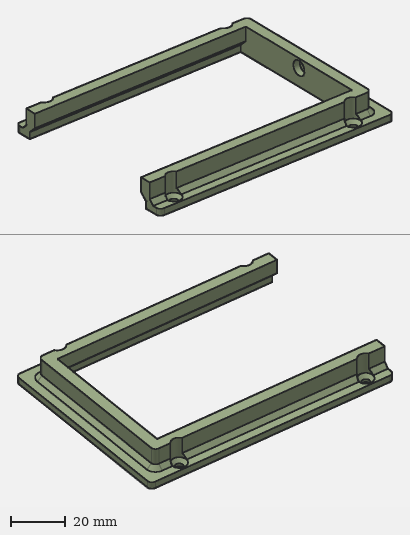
import cadquery as cq

width = 82.0
length = 111.0
height = 12.0

flange_height = 3.0
corner_radius = 2.0
side_ledge = 5.8
back_ledge = 6.0
wall_thickness = 5.0
foot_slope = 2.0

undercut_depth = 2.9
undercut_height = 3.0

screw_inset = 4.0
screw_front_inset = 10.0
screw_back_inset = 16.0
screw_diameter = 3.2
screw_head_diameter = 6.4

pocket_diameter = 6.3
pocket_depth = 3.0
pocket_height = 7.9

opening_width = width - 2 * (side_ledge + wall_thickness)
opening_length = length - back_ledge - wall_thickness
front_y = -length / 2
back_y = length / 2
inner_back_y = front_y + opening_length


def make_flange():
    plate = cq.Workplane("XY").box(width, length, flange_height, centered=(True, True, False))
    return plate.edges("|Z").fillet(corner_radius)


def make_block(ledge_reduction, block_height, radius):
    """Solid block flush with the open end and rounded at its two back corners."""
    block_width = width - 2 * (side_ledge - ledge_reduction)
    block_length = length - back_ledge + ledge_reduction
    return (
        cq.Workplane("XY")
        .center(0, front_y + block_length / 2)
        .box(block_width, block_length, block_height, centered=(True, True, False))
        .edges("|Z and >Y")
        .fillet(radius)
    )


def make_wall():
    """Upright wall with a sloped foot running around its outside."""
    wall = make_block(0, height, corner_radius)
    foot = make_block(foot_slope, flange_height + foot_slope, corner_radius + foot_slope)
    foot = foot.faces(">Z").edges("not(<Y)").chamfer(foot_slope)
    return wall.union(foot)


def make_opening():
    """Space between the legs, wider at the bottom where the legs are undercut."""
    upper_half = opening_width / 2
    lower_half = upper_half + undercut_depth
    slope_top = undercut_height + undercut_depth
    return (
        cq.Workplane("XZ", origin=(0, front_y, 0))
        .polyline([
            (-lower_half, 0),
            (lower_half, 0),
            (lower_half, undercut_height),
            (upper_half, slope_top),
            (upper_half, height),
            (-upper_half, height),
            (-upper_half, slope_top),
            (-lower_half, undercut_height),
        ])
        .close()
        .extrude(-opening_length)
    )


def make_screw_cutter(x, y):
    """Through hole, 90 degree countersink and head clearance up through the wall."""
    hole_radius = screw_diameter / 2
    head_radius = screw_head_diameter / 2
    cone_bottom = flange_height - (head_radius - hole_radius)
    return (
        cq.Workplane("XZ", origin=(x, y, 0))
        .polyline([
            (0, 0),
            (hole_radius, 0),
            (hole_radius, cone_bottom),
            (head_radius, flange_height),
            (head_radius, height),
            (0, height),
        ])
        .close()
        .revolve(360, (0, 0), (0, 1))
    )


def make_pocket():
    return (
        cq.Workplane("XZ", origin=(0, inner_back_y, pocket_height))
        .circle(pocket_diameter / 2)
        .extrude(-pocket_depth)
    )


result = make_flange().union(make_wall()).cut(make_opening()).cut(make_pocket())

screw_x = width / 2 - screw_inset
for x in (-screw_x, screw_x):
    for y in (front_y + screw_front_inset, back_y - screw_back_inset):
        result = result.cut(make_screw_cutter(x, y))